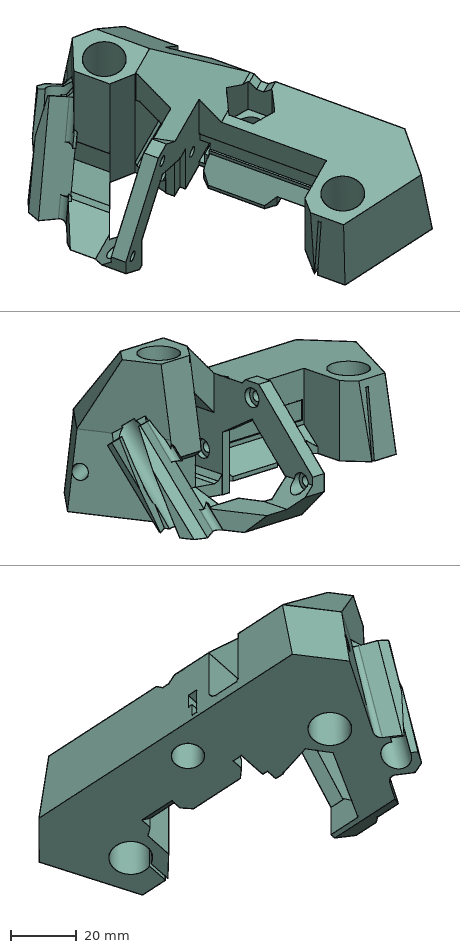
import cadquery as cq
import math


half_width = 62.37
total_depth = 74.8
tower_height = 50.1
body_height = 26.0
beyond = 200.0

lean = math.tan(math.radians(6.6))
back_half_width = 50.9
corner_y = -13.5
front_y = -44.15
side_slope = 0.5

rod_x = 40.0
rod_y = -30.4
rod_diameter = 13.3
nut_y = -10.5
nut_across_corners = 16.2
nut_floor_z = 12.0
screw_diameter = 10.1
trench_top_half_width = 3.6
trench_depth = 2.4

wall_y = -21.0
recess_depth = 0.6
recess_low_z = 9.4
recess_high_z = 16.0
pad_inner_x = 30.2
pad_chamfer_y = -36.8
pad_chamfer_x = 36.8
slit_center_x = 37.3
slit_width = 1.0
slit_height = 23.4

ledge_left_x = -9.2
ledge_lip_y = -27.8
ledge_lip_z = 1.5
ledge_top_z = 7.9
ledge_corner = 2.9
ledge_end_corner = 0.7
undercut_left_x = 15.5
undercut_right_x = 27.5
undercut_edge_z = ledge_lip_z + ledge_corner - 0.2

tower_right_x = -29.1
tower_side_y = -31.6
tower_chamfer_x = -34.5
tower_chamfer_y = -38.3
hip_x = -47.2
hip_shift_y = 0.4
side_hole_y = -16.7
side_hole_diameter = 5.3
side_hole_depth = 15.0

groove_front_y = -53.0
groove_valley_y = -48.1
groove_valley_z = 2.5
groove_back_y = -40.0
groove_back_low_z = 7.8
groove_height_z = 19.8
groove_bevel = 1.8

plate_left_x = -17.4
plate_right_x = -12.5
motor_y = -47.9
motor_z = 12.8
motor_hole_offset = 21.9
motor_hole_diameter = 3.4
counterbore_diameter = 6.2
counterbore_depth = 2.0
plate_top_z = 39.8
plate_bevel_y = -45.0
plate_slope_y = -50.9
plate_nose_z = 15.8
plate_chamfer = 10.0
window_half_diagonal = 15.0
window_back_y = -34.9
window_back_angle = 30.0
window_step_x = -14.4
window_step_y = -31.0
window_step_z = 20.3

bridge_front_y = -31.1
apron_y = -34.7
tunnel_top_z = 36.1
tunnel_floor_z = 4.0
tunnel_corner = 1.3
passage_right_x = -9.1
passage_step_x = -10.6
passage_low_z = 1.9
passage_step_z = 6.8
passage_high_z = 12.2

bar_height = 6.1
bar_ramp_x = -24.5
bar_inner_y = -63.0
bar_inner_slope = 0.45

clip_origin_y = -38.24
clip_top = -27.0
clip_length = 48.0
clip_center = 10.0
clip_half_width = 6.35
clip_height = 11.2
clip_chamfer = 2.9
clip_fillet = 2.2
clip_root = 1.0
clip_head_size = 2.9
clip_bore_radius = 4.5
clip_slot_width = 6.3
clip_slot_tilt = 10.0
clip_slot_middle = -7.0
clip_slot_shift = 0.8


def prism(plane, points, start, end):
    """Polygon drawn on a named plane, extruded between two offsets along its normal."""
    return cq.Workplane(plane).workplane(offset=start).polyline(points).close().extrude(end - start)


def box(x, y, z):
    """Box given by its (low, high) range on each axis."""
    size = [high - low for low, high in (x, y, z)]
    return cq.Workplane("XY").box(*size, centered=False).translate((x[0], y[0], z[0]))


def outside(point, normal):
    """Large block on the outer side of the plane through a point."""
    plane = cq.Plane(origin=point, normal=normal)
    return cq.Workplane(plane).rect(2 * beyond, 2 * beyond).extrude(beyond)


def leaning(point, normal):
    """Space outside a face that leans inward as it rises from a base point."""
    return outside((*point, 0), (*normal, lean))


def x_hole(y, z, diameter, start, end):
    """Cylinder along x between two positions."""
    return cq.Workplane("YZ").workplane(offset=start).center(y, z).circle(diameter / 2).extrude(end - start)


def z_hole(x, y, diameter):
    """Cylinder along z through the whole height."""
    return cq.Workplane("XY").center(x, y).circle(diameter / 2).extrude(tower_height)


def side_x(y):
    """Half width of the base outline along its sloping side."""
    return half_width - side_slope * (corner_y - y)


def inner_x(y):
    """Position of the inner wall that the tower foot and the low bar share."""
    return tower_chamfer_x + bar_inner_slope * (tower_chamfer_y - y)


def bridge_z(x):
    """Height of the 45 degree slope that falls from the tower to the body."""
    return tower_height - (x - tower_right_x)


side_length = math.hypot(1, side_slope)
side_normal_x = 1 / side_length
side_normal_y = -side_slope / side_length
rear_run_x = half_width - back_half_width
rear_length = math.hypot(rear_run_x, corner_y)
rear_normal_x = -corner_y / rear_length
rear_normal_y = rear_run_x / rear_length
left_corner = (-half_width, corner_y)
right_corner = (half_width, corner_y)

left_side_lean = leaning(left_corner, (-side_normal_x, side_normal_y))
left_rear_lean = leaning(left_corner, (-rear_normal_x, rear_normal_y))
right_side_lean = leaning(right_corner, (side_normal_x, side_normal_y))
right_rear_lean = leaning(right_corner, (rear_normal_x, rear_normal_y))
front_lean = leaning((0, front_y), (0, -1))
below_base = outside((0, 0, 0), (0, 0, -1))

roof_rise = cq.Vector(0, wall_y, tower_height - body_height)
roof_slope = outside((0, 0, body_height), (0, roof_rise.z, -roof_rise.y))


def main_body():
    """Back wall and right pad, with the clamping slit of the right rod."""
    outline = [
        (plate_left_x, 0),
        (back_half_width, 0),
        right_corner,
        (side_x(front_y), front_y),
        (pad_chamfer_x, front_y),
        (pad_inner_x, pad_chamfer_y),
        (pad_inner_x, wall_y),
        (plate_left_x, wall_y),
    ]
    body = prism("XY", outline, 0, body_height)
    body = body.cut(right_side_lean).cut(right_rear_lean).cut(front_lean)
    slit_left_x = slit_center_x - slit_width / 2
    slit = box((slit_left_x, slit_left_x + slit_width), (front_y, rod_y), (0, slit_height))
    return body.cut(slit)


def tower():
    """Left rod tower: leaning walls up to the body height, an upright left wall and a hip above."""
    right_edge = [
        (inner_x(front_y), front_y),
        (tower_chamfer_x, tower_chamfer_y),
        (tower_right_x, tower_side_y),
        (tower_right_x, 0),
    ]
    low_outline = [(-back_half_width, 0), left_corner, (-side_x(front_y), front_y)]
    low = prism("XY", low_outline + right_edge, 0, body_height)
    low = low.cut(left_side_lean).cut(left_rear_lean)

    wall_shift = lean * body_height * side_length
    hip_corner_y = corner_y - hip_shift_y
    hip_corner = (wall_shift - side_x(hip_corner_y), hip_corner_y)
    front_left = (wall_shift - side_x(front_y), front_y)
    high_outline = [(hip_x, 0), hip_corner, front_left]
    high = prism("XY", high_outline + right_edge, body_height, tower_height)
    hip_run = cq.Vector(hip_corner[0] - hip_x, hip_corner_y, 0)
    hip = outside((hip_x, 0, body_height), hip_run.cross(roof_rise).toTuple())
    high = high.cut(roof_slope).cut(hip)
    return low.union(high).cut(front_lean)


def bridge():
    """Slope falling at 45 degrees from the tower to the body, with an apron at its foot."""
    foot_x = tower_right_x + tower_height - body_height
    drop = [
        (tower_right_x, 0),
        (tower_right_x, tower_height),
        (foot_x, body_height),
        (foot_x, 0),
    ]
    solid = prism("XZ", drop, 0, -bridge_front_y)
    solid = solid.cut(box((plate_right_x, beyond), (-beyond, wall_y), (0, beyond)))
    solid = solid.cut(roof_slope)
    apron = [
        (tower_right_x, bridge_front_y),
        (tower_right_x, tower_side_y),
        (plate_left_x, apron_y),
        (plate_left_x, bridge_front_y),
    ]
    return solid.union(prism("XY", apron, 0, tunnel_floor_z + 2 * tunnel_corner))


def motor_plate():
    """Upright motor plate: an arm at the front and a sloped-top wall behind it."""
    low_z = bridge_z(plate_right_x)
    arm = [
        (window_step_y, 0),
        (window_step_y, low_z),
        (plate_bevel_y + plate_top_z - low_z, low_z),
        (plate_bevel_y, plate_top_z),
        (plate_slope_y, plate_top_z),
        (-total_depth, plate_nose_z),
        (-total_depth, 0),
    ]
    wall = [
        (plate_left_x, 0),
        (plate_left_x, bridge_z(plate_left_x)),
        (plate_right_x, low_z),
        (plate_right_x, 0),
    ]
    rear = prism("XZ", wall, 0, -plate_bevel_y).cut(roof_slope)
    return prism("YZ", arm, plate_left_x, plate_right_x).union(rear)


def low_bar():
    """Bar from under the tower to the front of the plate, ending in a 45 degree ramp."""
    ramp_top_z = bar_height + plate_left_x - bar_ramp_x
    profile = [
        (-half_width, 0),
        (-half_width, bar_height),
        (bar_ramp_x, bar_height),
        (plate_left_x, ramp_top_z),
        (plate_right_x, ramp_top_z),
        (plate_right_x, 0),
    ]
    bar = prism("XZ", profile, -tower_chamfer_y, total_depth)
    opening = [
        (tower_chamfer_x, tower_chamfer_y),
        (inner_x(bar_inner_y), bar_inner_y),
        (plate_right_x, bar_inner_y),
        (plate_right_x, tower_chamfer_y),
    ]
    return bar.cut(prism("XY", opening, 0, beyond)).cut(left_side_lean)


def wall_ledge():
    """Sloping ledge along the foot of the middle wall, set back and undercut near its right end."""
    profile = [
        (wall_y, 0),
        (wall_y, ledge_top_z),
        (ledge_lip_y, ledge_lip_z),
        (ledge_lip_y, 0),
    ]
    set_back_y = ledge_lip_y + ledge_corner
    outline = [
        (ledge_left_x, wall_y),
        (ledge_left_x, set_back_y),
        (ledge_left_x + ledge_corner, ledge_lip_y),
        (undercut_left_x - ledge_corner, ledge_lip_y),
        (undercut_left_x, set_back_y),
        (undercut_right_x, set_back_y),
        (pad_inner_x, ledge_lip_y + ledge_end_corner),
        (pad_inner_x, wall_y),
    ]
    undercut = [
        (ledge_lip_y, 0),
        (ledge_lip_y, undercut_edge_z),
        (set_back_y, undercut_edge_z),
        (wall_y, 0),
    ]
    ledge = prism("YZ", profile, ledge_left_x, pad_inner_x)
    ledge = ledge.intersect(prism("XY", outline, 0, body_height))
    return ledge.cut(prism("YZ", undercut, undercut_left_x, undercut_right_x))


def tunnel():
    """Tunnel under the bridge, open at the back and the front."""
    roof_foot_z = tunnel_top_z - (plate_left_x - tower_right_x - tunnel_corner)
    profile = [
        (tower_right_x + tunnel_corner / 2, tunnel_floor_z),
        (tower_right_x, tunnel_floor_z + tunnel_corner),
        (tower_right_x, tunnel_top_z),
        (tower_right_x + tunnel_corner, tunnel_top_z),
        (plate_left_x, roof_foot_z),
        (plate_left_x, tunnel_floor_z + 2 * tunnel_corner),
        (plate_left_x - tunnel_corner, tunnel_floor_z + tunnel_corner / 2),
        (plate_left_x - 2 * tunnel_corner, tunnel_floor_z),
    ]
    return prism("XZ", profile, 0, beyond)


def passage():
    """Stepped passage along y, just right of the motor plate."""
    profile = [
        (plate_right_x, passage_low_z),
        (plate_right_x, passage_high_z),
        (passage_right_x, passage_high_z),
        (passage_right_x, passage_step_z),
        (passage_step_x, passage_step_z),
        (passage_step_x, passage_low_z),
    ]
    return prism("XZ", profile, 0, beyond)


def motor_window():
    """Opening around the motor shaft, stepped back on the right half of the plate."""
    apex_z = motor_z + window_half_diagonal
    back_z = apex_z - (window_back_y - motor_y) * math.tan(math.radians(window_back_angle))
    outline = [
        (motor_y, apex_z),
        (window_back_y, back_z),
        (window_back_y, 0),
        (bar_inner_y, 0),
        (bar_inner_y, apex_z + bar_inner_y - motor_y),
    ]
    step = box((window_step_x, plate_right_x), (window_back_y, window_step_y), (0, window_step_z))
    return prism("YZ", outline, plate_left_x, plate_right_x).union(step)


def front_bottom_chamfer():
    outline = [
        (-total_depth, 0),
        (-total_depth, plate_chamfer),
        (plate_chamfer - total_depth, 0),
    ]
    return prism("YZ", outline, -half_width, plate_right_x)


def tower_groove():
    """Groove across the foot of the tower, sinking into the bar in front of it."""
    profile = [
        (groove_front_y, bar_height),
        (groove_valley_y, groove_valley_z),
        (groove_back_y, groove_back_low_z),
        (groove_back_y, groove_height_z - groove_bevel),
        (groove_back_y - groove_bevel, groove_height_z),
        (groove_front_y, groove_height_z),
    ]
    return prism("YZ", profile, -half_width, plate_left_x)


def wall_recess():
    """Shallow panel let into the middle wall."""
    return box(
        (plate_right_x, pad_inner_x - recess_depth),
        (wall_y, wall_y + recess_depth),
        (recess_low_z, recess_high_z),
    )


def nut_seat():
    """Screw hole, hexagonal nut pocket and the trench from the pocket to the back."""
    pocket = cq.Workplane("XY").workplane(offset=nut_floor_z).center(0, nut_y)
    pocket = pocket.polygon(6, nut_across_corners).extrude(tower_height)
    floor_half_width = trench_top_half_width - trench_depth
    trench = [
        (-trench_top_half_width, body_height),
        (-floor_half_width, body_height - trench_depth),
        (floor_half_width, body_height - trench_depth),
        (trench_top_half_width, body_height),
    ]
    return z_hole(0, nut_y, screw_diameter).union(pocket).union(prism("XZ", trench, 0, -nut_y))


def motor_screw(y, z):
    """Screw hole through the plate, counterbored from the tower side."""
    seat_x = plate_left_x + counterbore_depth
    hole = x_hole(y, z, motor_hole_diameter, plate_left_x, plate_right_x)
    return hole.union(x_hole(y, z, counterbore_diameter, tower_right_x, seat_x))


def side_hole():
    """Blind hole, square to the outline of the left face."""
    plane = cq.Plane(
        origin=(-side_x(side_hole_y), side_hole_y, motor_z),
        normal=(side_normal_x, -side_normal_y, 0),
    )
    return cq.Workplane(plane).circle(side_hole_diameter / 2).extrude(side_hole_depth)


clip_origin = (-side_x(clip_origin_y), clip_origin_y, 0)
clip_axis = cq.Vector(0.208, -0.705, -1.0).normalized()
left_face_normal = cq.Vector(-side_normal_x, side_normal_y, lean)
clip_across = left_face_normal.cross(clip_axis).normalized()
clip_plane = cq.Plane(origin=clip_origin, xDir=clip_across.toTuple(), normal=clip_axis.toTuple())
clip_left = clip_center - clip_half_width
clip_right = clip_center + clip_half_width


def clip_section(offset):
    """Cross-section plane of the clip at an offset along its axis."""
    return cq.Workplane(clip_plane).workplane(offset=offset)


def clip_bar():
    """Bar with chamfered outer corners, rooted in the left face."""
    shoulder = clip_height - clip_chamfer
    outline = [
        (clip_left, -clip_root),
        (clip_left, shoulder),
        (clip_left + clip_chamfer, clip_height),
        (clip_right - clip_chamfer, clip_height),
        (clip_right, shoulder),
        (clip_right, -clip_root),
    ]
    return clip_section(clip_top).polyline(outline).close().extrude(clip_length).cut(below_base)


def clip_fillet_strip(edge, side):
    """Concave fillet between the left face and one flank of the clip."""
    foot = edge + side * clip_fillet
    strip = (
        clip_section(clip_top)
        .moveTo(edge, -clip_root)
        .lineTo(edge, clip_fillet)
        .radiusArc((foot, 0), -side * clip_fillet)
        .lineTo(foot, -clip_root)
        .close()
        .extrude(clip_length)
    )
    return strip.cut(below_base)


def clip_head():
    """Bevel from the upper end of the clip back to the tower wall."""
    plane = cq.Plane(origin=clip_origin, xDir=clip_axis.toTuple(), normal=(-clip_across).toTuple())
    outline = [
        (clip_top, -clip_root),
        (clip_top, clip_head_size),
        (clip_top - clip_head_size, 0),
        (clip_top - clip_head_size, -clip_root),
    ]
    head = cq.Workplane(plane).workplane(offset=-clip_right).polyline(outline).close()
    return head.extrude(2 * clip_half_width)


def clip_opening():
    """Round bore along the clip and the tilted slot that opens it outward."""
    bore = clip_section(clip_top - clip_head_size).center(clip_center, clip_bore_radius)
    bore = bore.circle(clip_bore_radius).extrude(clip_length + clip_head_size)
    slot_depth = 2 * clip_height
    slot = (
        clip_section(clip_slot_middle)
        .center(clip_center - clip_slot_shift, clip_bore_radius + slot_depth / 2)
        .transformed(rotate=(0, -clip_slot_tilt, 0))
        .rect(clip_slot_width, slot_depth)
        .extrude(clip_length, both=True)
    )
    return bore.union(slot)


result = main_body().union(bridge()).union(motor_plate())
result = result.cut(tunnel()).cut(motor_window())
result = result.union(tower()).union(low_bar())
result = result.union(clip_fillet_strip(clip_left, -1)).union(clip_fillet_strip(clip_right, 1))
result = result.cut(tower_groove()).cut(front_bottom_chamfer())
result = result.union(wall_ledge()).cut(wall_recess())
result = result.union(clip_bar()).union(clip_head()).cut(clip_opening())
result = result.cut(nut_seat()).cut(side_hole()).cut(passage())

for x in (-rod_x, rod_x):
    result = result.cut(z_hole(x, rod_y, rod_diameter))

motor_screws = [
    (motor_y, motor_z + motor_hole_offset),
    (motor_y - motor_hole_offset, motor_z),
    (motor_y + motor_hole_offset, motor_z),
]
for y, z in motor_screws:
    result = result.cut(motor_screw(y, z))